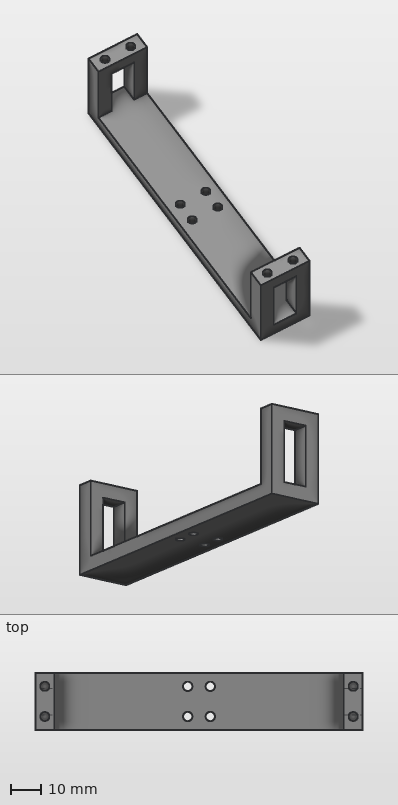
import cadquery as cq

length = 108.5
width = 19.0
height = 31.2

post_thickness = 6.3
floor_thickness = 5.0

window_width = 8.8
window_top_margin = 5.0
window_height = height - floor_thickness - window_top_margin

hole_diameter = 3.0
hole_spacing_y = 10.0
floor_hole_spacing_x = 7.5
post_hole_depth = 4.0
post_hole_spacing_x = length - post_thickness


def make_channel():
    """U-shaped body standing on Z = 0, centred in X and Y."""
    body = cq.Workplane("XY").box(length, width, height, centered=(True, True, False))
    gap = (
        cq.Workplane("XY")
        .workplane(offset=floor_thickness)
        .box(length - 2 * post_thickness, width, height, centered=(True, True, False))
    )
    return body.cut(gap)


def make_windows():
    """One bar along X that opens both posts, resting on the floor."""
    return (
        cq.Workplane("XY")
        .workplane(offset=floor_thickness)
        .box(length, window_width, window_height, centered=(True, True, False))
    )


def make_holes(spacing_x, bottom, depth):
    """Four vertical hole cylinders on a centred rectangle."""
    return (
        cq.Workplane("XY")
        .workplane(offset=bottom)
        .rarray(spacing_x, hole_spacing_y, 2, 2)
        .circle(hole_diameter / 2)
        .extrude(depth)
    )


floor_holes = make_holes(floor_hole_spacing_x, 0, floor_thickness)
post_holes = make_holes(post_hole_spacing_x, height - post_hole_depth, post_hole_depth)

result = make_channel().cut(make_windows()).cut(floor_holes).cut(post_holes)